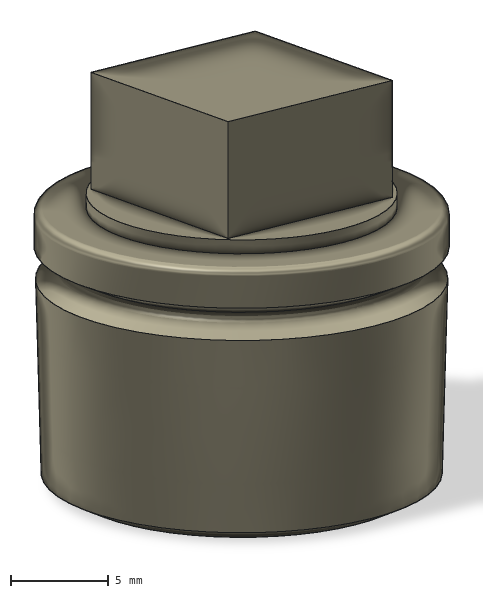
import cadquery as cq

total_height = 22.0
chamfer_top = 0.65
body_top = 11.1
groove_bottom = 11.81
groove_top = 12.23
flange_bottom = 12.87
flange_top = 14.95
collar_top = 15.7

flange_diameter = 21.36
collar_diameter = 16.0
groove_diameter = 18.7
body_top_diameter = 21.2
body_bottom_diameter = 20.64
bottom_face_diameter = 18.05

flange_fillet = 0.42
groove_fillet = 0.35
drive_square = 11.0


def cone(bottom_diameter, top_diameter, bottom, top):
    """Return a tapered or straight round section between two heights."""
    profile = [
        (0, bottom),
        (bottom_diameter / 2, bottom),
        (top_diameter / 2, top),
        (0, top),
    ]
    return cq.Workplane("XZ").polyline(profile).close().revolve(360, (0, 0), (0, 1))


lead_in = cone(bottom_face_diameter, body_bottom_diameter, 0, chamfer_top)
body = cone(body_bottom_diameter, body_top_diameter, chamfer_top, body_top)

lower_wall = cone(body_top_diameter, groove_diameter, body_top, groove_bottom)
groove_floor = cone(groove_diameter, groove_diameter, groove_bottom, groove_top)
groove = lower_wall.union(groove_floor)
groove_corner = cq.selectors.NearestToPointSelector((0, 0, groove_bottom))
groove = groove.edges(groove_corner).fillet(groove_fillet)
upper_wall = cone(groove_diameter, flange_diameter, groove_top, flange_bottom)

flange = cone(flange_diameter, flange_diameter, flange_bottom, flange_top)
flange = flange.faces(">Z").edges().fillet(flange_fillet)
collar = cone(collar_diameter, collar_diameter, flange_top, collar_top)

drive_head = (
    cq.Workplane("XY")
    .workplane(offset=collar_top)
    .rect(drive_square, drive_square)
    .extrude(total_height - collar_top)
)

result = lead_in
for section in (body, groove, upper_wall, flange, collar, drive_head):
    result = result.union(section)